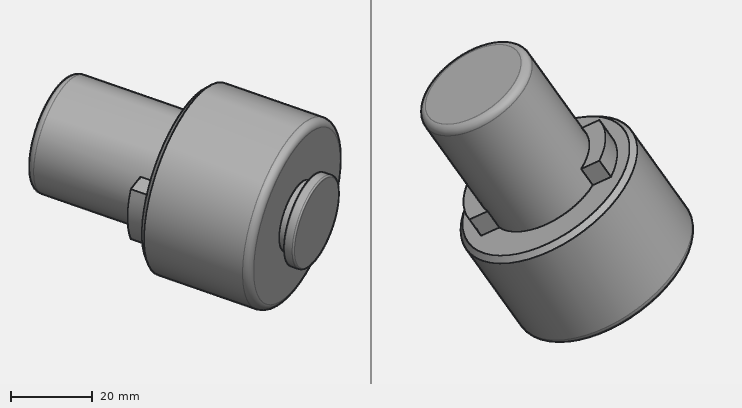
import cadquery as cq

total_length = 72.1
body_start = 36.1
body_length = 30.5
lug_length = 5.8
flange_thickness = 2.75

shaft_diameter = 31.0
body_diameter = 49.8
neck_diameter = 18.6
flange_diameter = 24.45
lug_diameter = 40.1

lug_width = 16.4
edge_radius = 2.0
body_chamfer = 1.4
flange_outer_radius = 0.4
flange_inner_radius = 0.2
neck_root_radius = 0.6


def cylinder(diameter, start, length):
    """Solid cylinder along +X, beginning at the given X position."""
    return cq.Workplane("YZ", origin=(start, 0, 0)).circle(diameter / 2).extrude(length)


shaft = cylinder(shaft_diameter, 0, body_start).faces("<X").edges().fillet(edge_radius)

body = cylinder(body_diameter, body_start, body_length)
body = body.faces("<X").edges().chamfer(body_chamfer)
body = body.faces(">X").edges().fillet(edge_radius)

lug_start = body_start - lug_length
lug_strip = cq.Workplane("XY").box(lug_length, lug_diameter, lug_width)
lug_strip = lug_strip.translate((lug_start + lug_length / 2, 0, 0))
lugs = cylinder(lug_diameter, lug_start, lug_length).intersect(lug_strip)

body_end = body_start + body_length
flange_start = total_length - flange_thickness
neck = cylinder(neck_diameter, body_end, flange_start - body_end)
flange = cylinder(flange_diameter, flange_start, flange_thickness)
flange = flange.faces(">X").edges().fillet(flange_outer_radius)
flange = flange.faces("<X").edges().fillet(flange_inner_radius)

neck_radius = neck_diameter / 2
root_radius = neck_radius + neck_root_radius
root_start = flange_start - neck_root_radius
root_fillet = (
    cq.Workplane("XY")
    .moveTo(root_start, 0)
    .lineTo(root_start, neck_radius)
    .radiusArc((flange_start, root_radius), -neck_root_radius)
    .lineTo(flange_start, 0)
    .close()
    .revolve(360, (0, 0, 0), (1, 0, 0))
)

result = shaft.union(body).union(lugs).union(neck).union(root_fillet).union(flange)